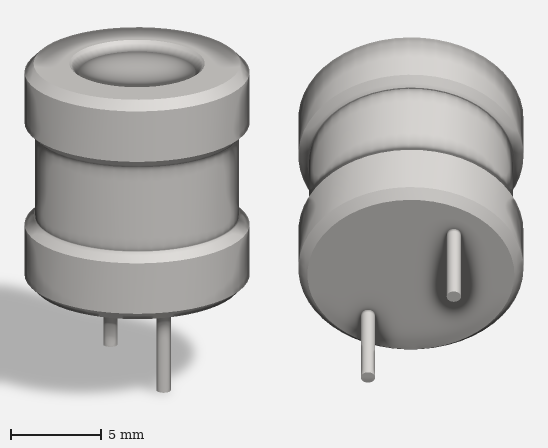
import cadquery as cq

flange_diameter = 12.5
waist_diameter = 11.3
flange_height = 4.0
waist_height = 5.0
edge_chamfer = 0.5
body_height = 2 * flange_height + waist_height

recess_top_diameter = 7.5
recess_floor_diameter = 6.5
recess_depth = 0.5

overall_height = 18
pin_diameter = 0.8
pin_spacing = 7.83
pin_length = overall_height - body_height


def make_flange(base_z):
    """Disc with both rims chamfered, standing on base_z."""
    return (
        cq.Workplane("XY")
        .workplane(offset=base_z)
        .circle(flange_diameter / 2)
        .extrude(flange_height)
        .edges("%CIRCLE")
        .chamfer(edge_chamfer)
    )


def make_recess():
    """Tapered cutter that narrows from the top face down to the recess floor."""
    return cq.Workplane(
        cq.Solid.makeCone(
            recess_floor_diameter / 2,
            recess_top_diameter / 2,
            recess_depth,
            pnt=cq.Vector(0, 0, body_height - recess_depth),
        )
    )


def make_body():
    """Two flanges joined by a narrower waist, with a recessed top face."""
    waist = (
        cq.Workplane("XY")
        .workplane(offset=flange_height)
        .circle(waist_diameter / 2)
        .extrude(waist_height)
    )
    lower_flange = make_flange(0)
    upper_flange = make_flange(flange_height + waist_height)
    return lower_flange.union(waist).union(upper_flange).cut(make_recess())


def make_pin(x):
    """Straight round lead hanging from the bottom face at the given X."""
    return cq.Workplane("XY").center(x, 0).circle(pin_diameter / 2).extrude(-pin_length)


body = make_body()
pins = [make_pin(side * pin_spacing / 2) for side in (-1, 1)]

result = cq.Compound.makeCompound([body.val(), *[pin.val() for pin in pins]])